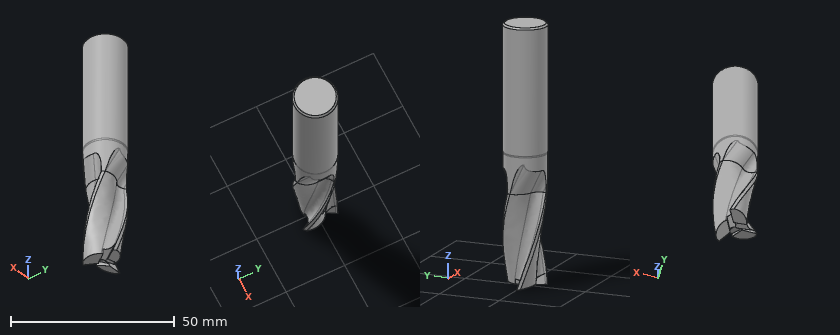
import cadquery as cq
import math

total_length = 83.0
shank_diameter = 14.0
cutter_diameter = 13.8
cutter_length = 30.0
shank_start = 42.5
top_chamfer = 0.6
step_height = 0.5

tooth_count = 3
tooth_pitch = 360.0 / tooth_count
first_edge_angle = 180.0
flute_twist = 90.0
land_angle = 10.0
heel_angle = 78.5
heel_radius = 3.8
relief_bulge = 0.9
flute_sag = 0.75
rake_width = 0.9
runout_slope = 0.48
runout_flare = 50.0

end_relief_angle = 12.0
gash_width = 1.8
gash_lean_angle = 18.0
gash_inner_reach = 1.7
gash_inner_height = 0.1
gash_outer_height = 3.5
gash_floor_rise = 0.5

cutter_radius = cutter_diameter / 2
shank_radius = shank_diameter / 2
outside_radius = 2 * cutter_radius
cutting_margin = 0.8
runout_height = shank_start - step_height - cutter_length


def polar(radius, angle):
    """Point of the cross-section at a radius and an angle in degrees."""
    turn = math.radians(angle)
    return (radius * math.cos(turn), radius * math.sin(turn))


def bulged_middle(start, end, sag):
    """Middle point of an arc, offset by sag to the right of start -> end."""
    dx = end[0] - start[0]
    dy = end[1] - start[1]
    chord = math.hypot(dx, dy)
    middle_x = (start[0] + end[0]) / 2
    middle_y = (start[1] + end[1]) / 2
    return (middle_x + sag * dy / chord, middle_y - sag * dx / chord)


def add_flute_side(sketch, edge_angle):
    """Draw the relief behind one land and the flute up to the next cutting edge."""
    land_end = polar(cutter_radius, edge_angle + land_angle)
    heel = polar(heel_radius, edge_angle + heel_angle)
    next_edge = polar(cutter_radius, edge_angle + tooth_pitch)
    sketch = sketch.threePointArc(bulged_middle(land_end, heel, relief_bulge), heel)
    rake_root = polar(cutter_radius - rake_width, edge_angle + tooth_pitch)
    sketch = sketch.threePointArc(bulged_middle(heel, rake_root, -flute_sag), rake_root)
    return sketch.lineTo(*next_edge)


def fluted_blank():
    """Twisted bar whose section has a land, a relief and a flute for each tooth."""
    sketch = cq.Workplane("XY").moveTo(*polar(cutter_radius, first_edge_angle))
    for index in range(tooth_count):
        edge_angle = first_edge_angle + index * tooth_pitch
        land_middle = polar(cutter_radius, edge_angle + land_angle / 2)
        sketch = sketch.threePointArc(land_middle, polar(cutter_radius, edge_angle + land_angle))
        sketch = add_flute_side(sketch, edge_angle)
    return sketch.close().twistExtrude(cutter_length, flute_twist)


def end_relief(edge_angle):
    """Wedge below one tooth: the end face rises behind the edge."""
    rise = outside_radius * math.tan(math.radians(end_relief_angle))
    wedge = (
        cq.Workplane("YZ")
        .polyline([(0, 0), (0, -outside_radius), (outside_radius, -outside_radius), (outside_radius, rise)])
        .close()
        .extrude(cutter_radius)
    )
    return wedge.rotate((0, 0, 0), (0, 0, 1), edge_angle)


def gash_section(distance, height):
    """Cross-section of a gash at a distance from the axis along the cutting edge."""
    lean = math.tan(math.radians(gash_lean_angle))
    corners = [
        cq.Vector(distance, -cutting_margin * lean, -cutting_margin),
        cq.Vector(distance, height * lean, height),
        cq.Vector(distance, -gash_width, height + gash_floor_rise),
        cq.Vector(distance, -gash_width, -cutting_margin),
    ]
    return cq.Wire.makePolygon(corners, close=True)


def gash(edge_angle):
    """Slot in front of one end edge, growing taller toward the outside."""
    inner = gash_section(-gash_inner_reach, gash_inner_height)
    outer = gash_section(cutter_radius, gash_outer_height)
    notch = cq.Workplane(cq.Solid.makeLoft([inner, outer], True))
    return notch.rotate((0, 0, 0), (0, 0, 1), edge_angle)


def make_cutter():
    cutter = fluted_blank()
    for index in range(tooth_count):
        edge_angle = first_edge_angle + index * tooth_pitch
        cutter = cutter.cut(end_relief(edge_angle)).cut(gash(edge_angle))
    return cutter


def flute_runout(edge_angle):
    """Straight slanted continuation of the flute that starts behind one land."""
    next_angle = edge_angle + tooth_pitch
    land_end = polar(cutter_radius, edge_angle + land_angle)
    flank = polar(outside_radius, edge_angle + land_angle - runout_flare)
    sketch = cq.Workplane("XY", origin=(0, 0, cutter_length))
    sketch = sketch.moveTo(*land_end)
    sketch = add_flute_side(sketch, edge_angle)
    sketch = (
        sketch.lineTo(*polar(outside_radius, next_angle))
        .lineTo(*polar(2 * outside_radius, (edge_angle + land_angle + next_angle) / 2))
        .lineTo(land_end[0] + flank[0], land_end[1] + flank[1])
        .close()
    )
    drift = polar(runout_slope * runout_height, next_angle)
    direction = cq.Vector(drift[0], drift[1], runout_height)
    return cq.Workplane(cq.Solid.extrudeLinear(sketch.val(), [], direction))


def make_shank():
    neck_top = shank_start - step_height
    shank = (
        cq.Workplane("XZ")
        .polyline([
            (0, cutter_length),
            (cutter_radius, cutter_length),
            (cutter_radius, neck_top),
            (shank_radius, shank_start),
            (shank_radius, total_length - top_chamfer),
            (shank_radius - top_chamfer, total_length),
            (0, total_length),
        ])
        .close()
        .revolve(360, (0, 0, 0), (0, 1, 0))
    )
    for index in range(tooth_count):
        shank = shank.cut(flute_runout(first_edge_angle + flute_twist + index * tooth_pitch))
    return shank


cutter = make_cutter()
shank = make_shank()

result = cq.Compound.makeCompound([cutter.val(), shank.val()])